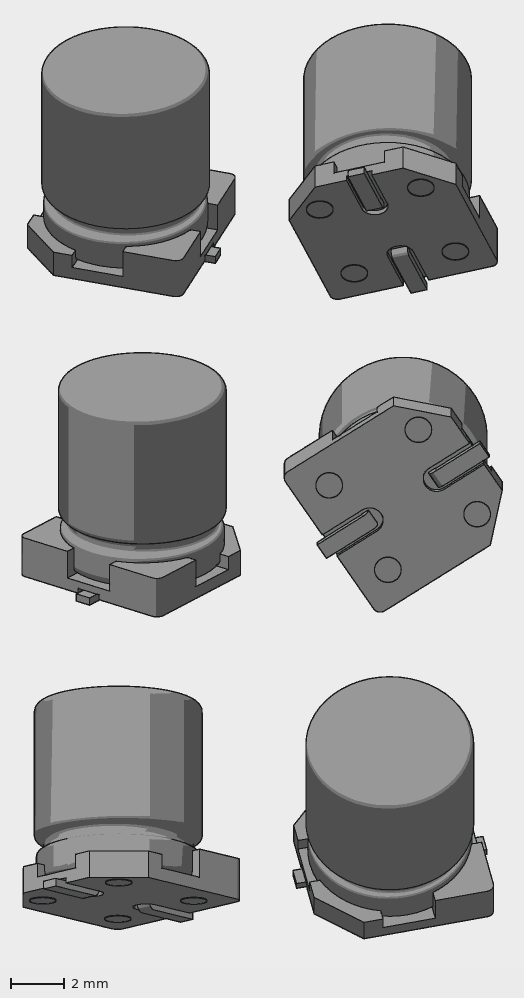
import cadquery as cq

total_height = 7.7
base_bottom = 0.15
gap_floor = 0.64
low_post_top = 1.17
high_post_top = 1.73

base_size = 6.6
corner_cut = 1.56
corner_round = 0.3
gap_width = 2.0
foot_diameter = 1.0
foot_offset = 2.0
foot_height = 0.03

body_radius = 6.3 / 2
waist_radius = 5.61 / 2
bottom_radius = 6.15 / 2
body_edge_round = 0.3
bottom_edge_round = 0.32
bead_bottom = 1.80
waist_bottom = 2.15
waist_top = 2.27
body_bottom = 2.66

lead_span = 7.3
lead_width = 0.64
lead_thickness = 0.3
lead_inner_end = 1.35
lead_bend_round = 0.25

recess_width = 1.0
recess_height = 0.2

half_base = base_size / 2
half_gap = gap_width / 2


def box(x_range, y_range, z_range):
    """Block between the given limits."""
    x0, x1 = x_range
    y0, y1 = y_range
    z0, z1 = z_range
    return cq.Workplane("XY").box(x1 - x0, y1 - y0, z1 - z0, centered=False).translate((x0, y0, z0))


def make_base():
    """Square block: chamfered low posts at -X, rounded high posts at +X, a gap in each side."""
    block = box((-half_base, half_base), (-half_base, half_base), (base_bottom, high_post_top))
    block = block.edges("|Z and <X").chamfer(corner_cut)
    block = block.edges("|Z and >X").fillet(corner_round)
    full = (-half_base, half_base)
    gap = (-half_gap, half_gap)
    block = block.cut(box((-half_base, half_gap), full, (low_post_top, high_post_top)))
    block = block.cut(box(full, gap, (gap_floor, high_post_top)))
    return block.cut(box(gap, full, (gap_floor, high_post_top)))


def make_feet():
    """Four round standoff pads, running from below the base up to its floor."""
    return (
        cq.Workplane("XY", origin=(0, 0, base_bottom - foot_height))
        .rect(2 * foot_offset, 2 * foot_offset, forConstruction=True)
        .vertices()
        .circle(foot_diameter / 2)
        .extrude(gap_floor - base_bottom + foot_height)
    )


def make_can():
    """Revolved can; each side of the waist is an S of two arcs that start and end vertical."""
    bead_middle = ((bottom_radius + waist_radius) / 2, (bead_bottom + waist_bottom) / 2)
    shoulder_middle = ((waist_radius + body_radius) / 2, (waist_top + body_bottom) / 2)
    profile = (
        cq.Workplane("XZ")
        .moveTo(0, gap_floor)
        .lineTo(bottom_radius, gap_floor)
        .lineTo(bottom_radius, bead_bottom)
        .tangentArcPoint(bead_middle, relative=False)
        .tangentArcPoint((waist_radius, waist_bottom), relative=False)
        .lineTo(waist_radius, waist_top)
        .tangentArcPoint(shoulder_middle, relative=False)
        .tangentArcPoint((body_radius, body_bottom), relative=False)
        .lineTo(body_radius, total_height)
        .lineTo(0, total_height)
        .close()
    )
    can = profile.revolve(360, (0, 0, 0), (0, 1, 0))
    can = can.faces(">Z").edges().fillet(body_edge_round)
    return can.faces("<Z").edges().fillet(bottom_edge_round)


def make_recess():
    """Recess for the -X lead, open at the base side and round at its inner end."""
    round_center = -lead_inner_end - lead_thickness / 2
    half_width = recess_width / 2
    return (
        cq.Workplane("XY", origin=(0, 0, base_bottom))
        .moveTo(-half_base, -half_width)
        .lineTo(round_center, -half_width)
        .threePointArc((round_center + half_width, 0), (round_center, half_width))
        .lineTo(-half_base, half_width)
        .close()
        .extrude(recess_height)
    )


def make_lead():
    """L-shaped -X lead, rounded on the outside of the bend, with its leg set in the base."""
    y_range = (-lead_width / 2, lead_width / 2)
    flat = box((-lead_span / 2, -lead_inner_end), y_range, (0, lead_thickness))
    leg = box((-lead_inner_end - lead_thickness, -lead_inner_end), y_range, (0, gap_floor))
    return flat.union(leg).edges("|Y and >X and <Z").fillet(lead_bend_round)


def on_both_ends(shape):
    """The -X shape together with its mirror image at +X."""
    return shape.union(shape.mirror("YZ"))


base = make_base().union(make_feet()).cut(on_both_ends(make_recess()))
result = base.union(make_can()).union(on_both_ends(make_lead()))